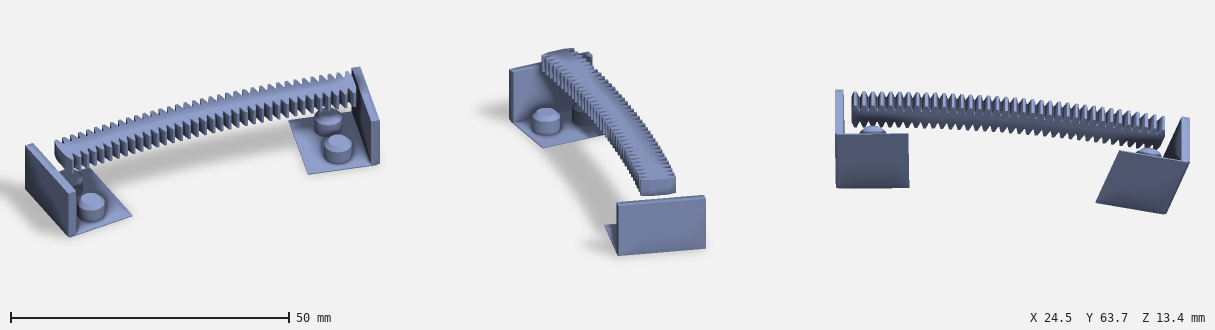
import cadquery as cq
import math

teeth = 36
arc_angle = 16.3
centre_radius = 199.5
core_width = 3.2
tooth_depth = 1.65
tip_share = 0.3
root_share = 0.1
rack_thickness = 3.2

bracket_width = 16.0
plate_depth = 12.8
plate_thickness = 0.2
wall_thickness = 1.6
wall_overhang = 0.4
wall_top = 10.2
peg_diameter = 5.0
peg_spacing = 8.0
peg_top = 3.7
peg_chamfer = 0.75

end_clearance = 2.8


def rack_point(offset, step):
    """Point at a sideways offset from the centre line, a number of pitches along the arc.

    The arc starts at the origin heading along +Y and bends towards +X.
    """
    angle = math.radians(arc_angle * step / teeth)
    radius = centre_radius - offset
    return centre_radius - radius * math.cos(angle), radius * math.sin(angle)


def toothed_edge(side):
    """Outline of one long edge from start to end; side is -1 for left and +1 for right."""
    root = side * core_width / 2
    tip = side * (core_width / 2 + tooth_depth)
    points = []
    for tooth in range(teeth):
        middle = tooth + 0.5
        points.append(rack_point(root, tooth + root_share / 2))
        points.append(rack_point(tip, middle - tip_share / 2))
        points.append(rack_point(tip, middle + tip_share / 2))
        points.append(rack_point(root, tooth + 1 - root_share / 2))
    return points


def make_rack():
    outline = toothed_edge(-1) + toothed_edge(1)[::-1]
    return (
        cq.Workplane("XY", origin=(0, 0, wall_top))
        .polyline(outline)
        .close()
        .extrude(rack_thickness)
    )


def make_bracket():
    """Bracket at the start of the rack, with the outer face of its wall towards -Y."""
    wall_front = -end_clearance
    plate_front = wall_front + wall_overhang
    plate_middle = plate_front + plate_depth / 2
    plate = cq.Workplane("XY", origin=(0, plate_middle, 0)).box(
        bracket_width, plate_depth, plate_thickness, centered=(True, True, False)
    )
    wall = cq.Workplane("XY", origin=(0, wall_front, plate_thickness)).box(
        bracket_width, wall_thickness, wall_top - plate_thickness, centered=(True, False, False)
    )
    pegs = (
        cq.Workplane("XY", origin=(0, plate_middle, 0))
        .pushPoints([(-peg_spacing / 2, 0), (peg_spacing / 2, 0)])
        .circle(peg_diameter / 2)
        .extrude(peg_top)
        .faces(">Z")
        .chamfer(peg_chamfer)
    )
    return plate.union(wall).union(pegs)


def make_brackets():
    """One bracket at each end of the rack, mirror images about the middle of the arc."""
    start_bracket = make_bracket()
    end_x, end_y = rack_point(0, teeth)
    end_bracket = (
        start_bracket.mirror("XZ")
        .rotate((0, 0, 0), (0, 0, 1), -arc_angle)
        .translate((end_x, end_y, 0))
    )
    return [start_bracket, end_bracket]


rack = make_rack()
brackets = make_brackets()

result = cq.Compound.makeCompound([rack.val(), *[bracket.val() for bracket in brackets]])